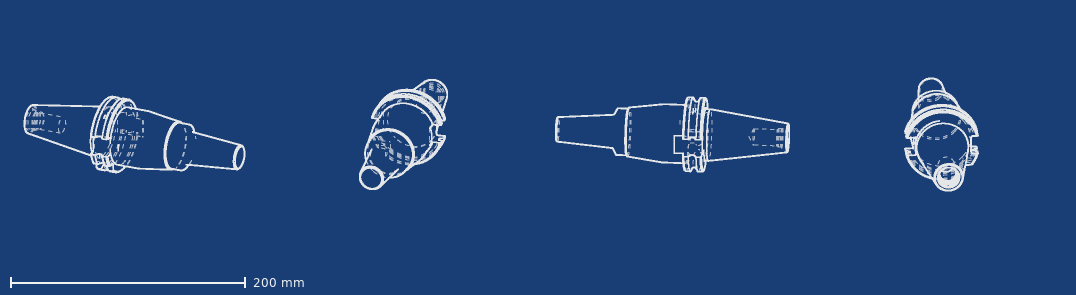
import cadquery as cq
import math

taper_length = 67.6
taper_end_radius = 22.2
taper_slope = 7 / 48
tip_chamfer_length = 0.5
tip_edge_radius = taper_end_radius - (taper_length - tip_chamfer_length) * taper_slope
tip_face_radius = 11.7

neck_radius = 22.0
neck_start = 68.5
neck_fillet = 1.2

flange_start = 71.4
flange_end = 87.5
flange_radius = 31.7
flange_chamfer = 1.0
groove_center = 79.3
groove_bottom_radius = 28.2
groove_bottom_width = 2.5
groove_fillet = 0.5
groove_half_angle = math.radians(30)
groove_half_bottom = groove_bottom_width / 2
groove_half_mouth = groove_half_bottom + (flange_radius - groove_bottom_radius) * math.tan(groove_half_angle)

body_radius = 25.0
body_straight_end = 107.0
body_taper_end = 136.8
body_taper_end_radius = 21.0
collar_start = 137.8
collar_radius = 20.0
collar_shoulder_start = 146.5
collar_shoulder_end = 149.7
collar_edge_fillet = 0.8
nose_root_fillet = 1.0

total_length = 198.2
nose_angle = math.radians(4.5)
nose_end_radius = 10.5
nose_end_chamfer = 1.0
nose_start_radius = nose_end_radius + (total_length - collar_shoulder_end) * math.tan(nose_angle)
nose_chamfer_start = total_length - nose_end_chamfer
nose_chamfer_radius = nose_end_radius + nose_end_chamfer * math.tan(nose_angle)
nose_tip_radius = nose_end_radius - nose_end_chamfer

slot_width = 16.0
slot_end = 95.2
front_flat_depth = 0.15
front_slot_floor = body_radius - front_flat_depth
back_slot_floor = 22.6
slot_fillet = 1.2
notch_corner = 18.5
notch_fillet = 1.5

mouth_radius = 9.3
pilot_radius = 8.5
pilot_start = 1.8
pilot_end = 5.4
thread_radius = 8.0
thread_start = 6.0
thread_end = 8.5
core_radius = 7.0
core_start = 9.5
core_end = 29.7
drill_tip_slope = math.radians(30)
drill_tip_end = core_end + core_radius * math.tan(drill_tip_slope)


def revolve_about_x(profile):
    return profile.close().revolve(360, (0, 0, 0), (1, 0, 0))


def ring_selector(position, edge_radius):
    """Picks the circular edge of the given radius around the axis at X = position."""
    margin = 0.02
    reach = edge_radius + margin
    return cq.selectors.BoxSelector(
        (position - margin, -reach, -reach),
        (position + margin, reach, reach),
        boundingbox=True,
    )


def holder_body():
    profile = (
        cq.Workplane("XY")
        .moveTo(0, 0)
        .lineTo(0, tip_face_radius)
        .lineTo(tip_chamfer_length, tip_edge_radius)
        .lineTo(taper_length, taper_end_radius)
        .lineTo(neck_start, neck_radius)
        .lineTo(flange_start, neck_radius)
        .lineTo(flange_start, flange_radius - flange_chamfer)
        .lineTo(flange_start + flange_chamfer, flange_radius)
        .lineTo(groove_center - groove_half_mouth, flange_radius)
        .lineTo(groove_center - groove_half_bottom, groove_bottom_radius)
        .lineTo(groove_center + groove_half_bottom, groove_bottom_radius)
        .lineTo(groove_center + groove_half_mouth, flange_radius)
        .lineTo(flange_end - flange_chamfer, flange_radius)
        .lineTo(flange_end, flange_radius - flange_chamfer)
        .lineTo(flange_end, body_radius)
        .lineTo(body_straight_end, body_radius)
        .lineTo(body_taper_end, body_taper_end_radius)
        .lineTo(collar_start, collar_radius)
        .lineTo(collar_shoulder_start, collar_radius)
        .lineTo(collar_shoulder_end, nose_start_radius)
        .lineTo(nose_chamfer_start, nose_chamfer_radius)
        .lineTo(total_length, nose_tip_radius)
        .lineTo(total_length, 0)
    )
    fillets = (
        (flange_start, neck_radius, neck_fillet),
        (groove_center - groove_half_bottom, groove_bottom_radius, groove_fillet),
        (groove_center + groove_half_bottom, groove_bottom_radius, groove_fillet),
        (collar_shoulder_start, collar_radius, collar_edge_fillet),
        (collar_shoulder_end, nose_start_radius, nose_root_fillet),
    )
    body = revolve_about_x(profile)
    for position, edge_radius, fillet_radius in fillets:
        body = body.edges(ring_selector(position, edge_radius)).fillet(fillet_radius)
    return body


def pull_stud_bore():
    profile = (
        cq.Workplane("XY")
        .moveTo(0, 0)
        .lineTo(0, mouth_radius)
        .lineTo(pilot_start, pilot_radius)
        .lineTo(pilot_end, pilot_radius)
        .lineTo(thread_start, thread_radius)
        .lineTo(thread_end, thread_radius)
        .lineTo(core_start, core_radius)
        .lineTo(core_end, core_radius)
        .lineTo(drill_tip_end, 0)
    )
    return revolve_about_x(profile)


def drive_slot(floor, side):
    """Keyway cutter on the +Y (side=1) or -Y (side=-1) flank, with rounded floor corners."""
    length = slot_end - flange_start
    depth = flange_radius - floor
    return (
        cq.Workplane("XY")
        .box(length, depth, slot_width, centered=(False, False, True))
        .faces("<Y")
        .edges("|X")
        .fillet(slot_fillet)
        .translate((flange_start, floor, 0))
        .rotate((0, 0, 0), (1, 0, 0), 0 if side > 0 else 180)
    )


def orientation_notch():
    """Corner notch through the flange at the -Y, -Z side, with a rounded inner corner."""
    depth = flange_radius - notch_corner
    return (
        cq.Workplane("XY")
        .box(flange_end - flange_start, depth, depth, centered=False)
        .edges("|X and >Y and >Z")
        .fillet(notch_fillet)
        .translate((flange_start, -flange_radius, -flange_radius))
    )


result = (
    holder_body()
    .cut(pull_stud_bore())
    .cut(drive_slot(back_slot_floor, 1))
    .cut(drive_slot(front_slot_floor, -1))
    .cut(orientation_notch())
)